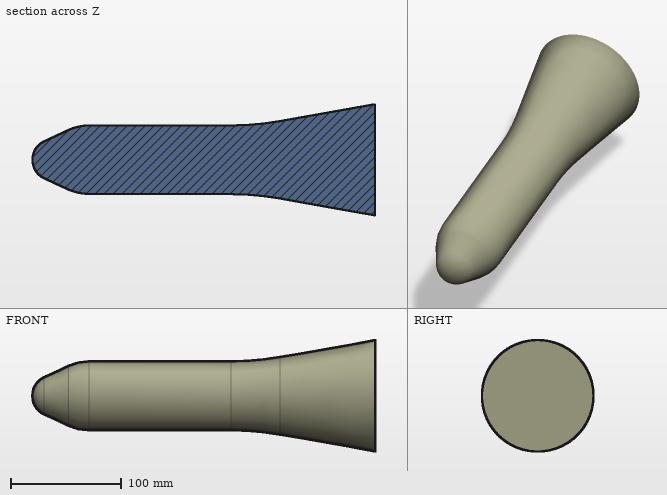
import cadquery as cq
import math

length = 311.5
body_radius = 31.5
base_radius = 50.8
nose_tip_radius = 18.7
nose_angle = math.radians(25)
flare_angle = math.radians(10.1)
body_start = 51.7
body_end = 180.7


tip_end_x = nose_tip_radius * (1 - math.sin(nose_angle))
tip_end_radius = nose_tip_radius * math.cos(nose_angle)
tip_mid_angle = (math.pi / 2 - nose_angle) / 2
tip_mid = (
    nose_tip_radius * (1 - math.cos(tip_mid_angle)),
    nose_tip_radius * math.sin(tip_mid_angle),
)

nose_corner_x = tip_end_x + (body_radius - tip_end_radius) / math.tan(nose_angle)
shoulder_radius = (body_start - nose_corner_x) / math.tan(nose_angle / 2)

skirt_corner_x = length - (base_radius - body_radius) / math.tan(flare_angle)
flare_radius = (skirt_corner_x - body_end) / math.tan(flare_angle / 2)


def shoulder_point(angle):
    """Point on the shoulder arc where the surface slopes by angle."""
    x = body_start - shoulder_radius * math.sin(angle)
    radius = body_radius - shoulder_radius * (1 - math.cos(angle))
    return (x, radius)


def flare_point(angle):
    """Point on the flare blend where the surface slopes by angle."""
    x = body_end + flare_radius * math.sin(angle)
    radius = body_radius + flare_radius * (1 - math.cos(angle))
    return (x, radius)


profile = (
    cq.Workplane("XY")
    .moveTo(0, 0)
    .threePointArc(tip_mid, (tip_end_x, tip_end_radius))
    .lineTo(*shoulder_point(nose_angle))
    .threePointArc(shoulder_point(nose_angle / 2), (body_start, body_radius))
    .lineTo(body_end, body_radius)
    .threePointArc(flare_point(flare_angle / 2), flare_point(flare_angle))
    .lineTo(length, base_radius)
    .lineTo(length, 0)
    .close()
)

result = profile.revolve(360, (0, 0, 0), (1, 0, 0))